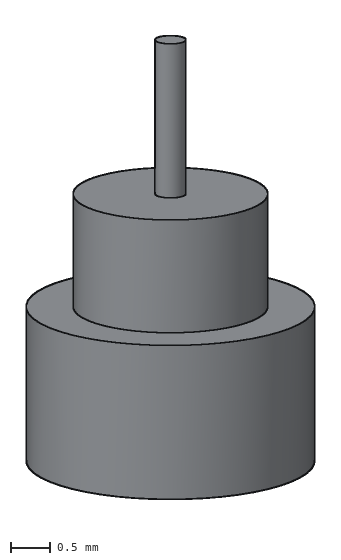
import cadquery as cq

total_height = 5.6

base_diameter = 3.7
base_height = 2.05

collar_diameter = 2.5
collar_height = 1.5

pin_diameter = 0.4
pin_height = total_height - base_height - collar_height


def cylinder(diameter, height, bottom):
    """Upright cylinder on the Z axis, starting at the given height."""
    return cq.Workplane("XY").workplane(offset=bottom).circle(diameter / 2).extrude(height)


base = cylinder(base_diameter, base_height, 0)
collar = cylinder(collar_diameter, collar_height, base_height)
pin = cylinder(pin_diameter, pin_height, base_height + collar_height)

result = base.union(collar).union(pin)